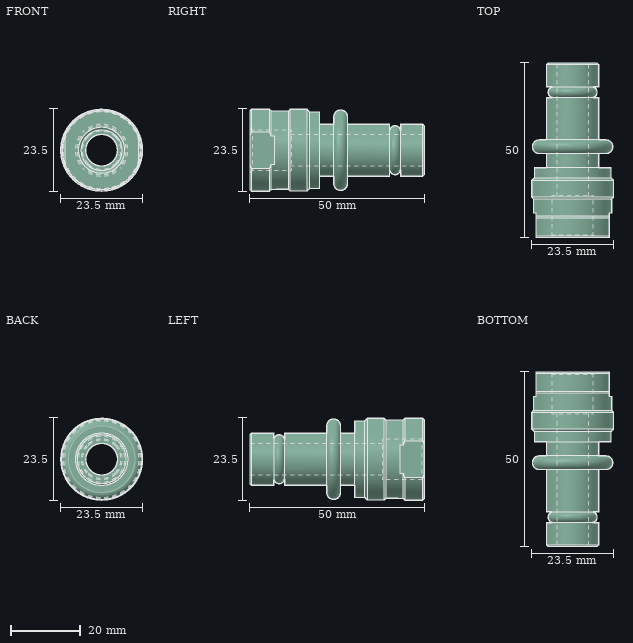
import cadquery as cq

length = 50.0
front_y = -length / 2
tail_y = length / 2

shaft_radius = 7.5
shaft_length = 30.0
edge_chamfer = 0.5

small_ring_y = tail_y - 8.4
small_ring_round = 1.55
small_ring_radius = 5.5

large_ring_y = tail_y - 24.0
large_ring_round = 2.0
large_ring_radius = 9.55

collar_radius = 11.75
shoulder_radius = 11.0
neck_radius = 11.25
wrench_length = 6.1
collar_front = 11.05
shoulder_start = 17.1
neck_step = collar_radius - neck_radius
shoulder_step = collar_radius - shoulder_radius

flat_half_width = 10.5
flat_length = 7.0

bore_radius = 4.5
counterbore_radius = 5.85
counterbore_depth = 12.0
mouth_radius = 6.6


def add_ring(profile, ring_y, ring_radius, rim_round):
    """Continue the profile along the shaft and around one half-round ring."""
    return (
        profile.lineTo(shaft_radius, ring_y - rim_round)
        .lineTo(ring_radius, ring_y - rim_round)
        .threePointArc((ring_radius + rim_round, ring_y), (ring_radius, ring_y + rim_round))
        .lineTo(shaft_radius, ring_y + rim_round)
    )


def make_turned_body():
    """Revolve the outer profile, including both seal rings."""
    shaft_start = tail_y - shaft_length
    profile = (
        cq.Workplane("XY")
        .moveTo(0, front_y)
        .lineTo(collar_radius - edge_chamfer, front_y)
        .lineTo(collar_radius, front_y + edge_chamfer)
        .lineTo(collar_radius, front_y + wrench_length - neck_step)
        .lineTo(neck_radius, front_y + wrench_length)
        .lineTo(neck_radius, front_y + collar_front)
        .lineTo(collar_radius, front_y + collar_front + neck_step)
        .lineTo(collar_radius, front_y + shoulder_start - shoulder_step)
        .lineTo(shoulder_radius, front_y + shoulder_start)
        .lineTo(shoulder_radius, shaft_start)
        .lineTo(shaft_radius, shaft_start)
    )
    profile = add_ring(profile, large_ring_y, large_ring_radius, large_ring_round)
    profile = add_ring(profile, small_ring_y, small_ring_radius, small_ring_round)
    return (
        profile.lineTo(shaft_radius, tail_y - edge_chamfer)
        .lineTo(shaft_radius - edge_chamfer, tail_y)
        .lineTo(0, tail_y)
        .close()
        .revolve(360, (0, 0), (0, 1))
    )


def make_bore():
    """Through bore with a counterbore and a 45 degree mouth at the front."""
    counterbore_end = front_y + counterbore_depth
    mouth_depth = mouth_radius - counterbore_radius
    return (
        cq.Workplane("XY")
        .moveTo(0, front_y)
        .lineTo(mouth_radius, front_y)
        .lineTo(counterbore_radius, front_y + mouth_depth)
        .lineTo(counterbore_radius, counterbore_end)
        .lineTo(bore_radius, counterbore_end)
        .lineTo(bore_radius, tail_y)
        .lineTo(0, tail_y)
        .close()
        .revolve(360, (0, 0), (0, 1))
    )


def make_flat_cutter(side):
    """Block that removes the material outside one wrench flat."""
    return cq.Workplane("XY").box(collar_radius, flat_length, 2 * collar_radius).translate(
        (side * (flat_half_width + collar_radius / 2), front_y + flat_length / 2, 0)
    )


result = make_turned_body().cut(make_bore())
for side in (-1, 1):
    result = result.cut(make_flat_cutter(side))